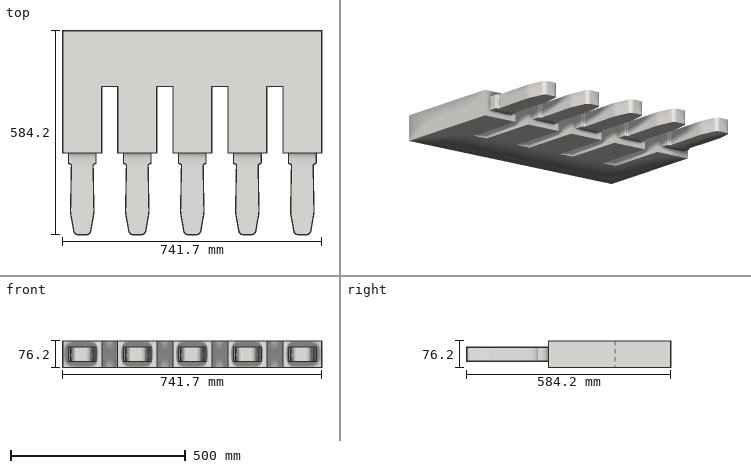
import cadquery as cq
import math

INCH = 25.4

TOOTH_COUNT = 5
TOOTH_PITCH = 6.2 * INCH
TOOTH_WIDTH = 4.4 * INCH
BODY_DEPTH = 13.8 * INCH
BODY_THICKNESS = 3.0 * INCH
SLOT_DEPTH = 7.5 * INCH

PIN_LENGTH = 9.2 * INCH
PIN_THICKNESS = 1.6 * INCH
SHOULDER_HALF_WIDTH = 1.575 * INCH
SHOULDER_LENGTH = 1.04 * INCH
STEP_RADIUS = 0.17 * INCH
BULGE_HALF_WIDTH = 1.335 * INCH
BULGE_DISTANCE = 6.7 * INCH
BULGE_RADIUS = 3.1 * INCH
TAPER_ANGLE = math.radians(10)
TIP_RADIUS = 0.53 * INCH

BODY_WIDTH = (TOOTH_COUNT - 1) * TOOTH_PITCH + TOOTH_WIDTH
SLOT_WIDTH = TOOTH_PITCH - TOOTH_WIDTH
WAIST_HALF_WIDTH = SHOULDER_HALF_WIDTH - 2 * STEP_RADIUS
WAIST_DISTANCE = SHOULDER_LENGTH + 2 * STEP_RADIUS
TIP_HALF_WIDTH = BULGE_HALF_WIDTH - (PIN_LENGTH - BULGE_DISTANCE) * math.tan(TAPER_ANGLE)


def evenly_spaced(count):
    """X positions of a centred row with the tooth pitch."""
    return [(i - (count - 1) / 2) * TOOTH_PITCH for i in range(count)]


def make_body():
    """Flat bar with open slots; the tooth ends lie on Y = 0."""
    body = cq.Workplane("XY").box(BODY_WIDTH, BODY_DEPTH, BODY_THICKNESS, centered=(True, False, True))
    slots = (
        cq.Workplane("XY")
        .pushPoints([(x, 0) for x in evenly_spaced(TOOTH_COUNT - 1)])
        .box(SLOT_WIDTH, SLOT_DEPTH, BODY_THICKNESS, centered=(True, False, True))
    )
    return body.cut(slots)


def make_shoulder():
    """Wide pin root that steps in to the waist through a round and a hollow quarter arc."""
    return (
        cq.Workplane("XY")
        .moveTo(-SHOULDER_HALF_WIDTH, 0)
        .lineTo(SHOULDER_HALF_WIDTH, 0)
        .lineTo(SHOULDER_HALF_WIDTH, -SHOULDER_LENGTH)
        .radiusArc((SHOULDER_HALF_WIDTH - STEP_RADIUS, -SHOULDER_LENGTH - STEP_RADIUS), STEP_RADIUS)
        .radiusArc((WAIST_HALF_WIDTH, -WAIST_DISTANCE), -STEP_RADIUS)
        .lineTo(-WAIST_HALF_WIDTH, -WAIST_DISTANCE)
        .radiusArc((STEP_RADIUS - SHOULDER_HALF_WIDTH, -SHOULDER_LENGTH - STEP_RADIUS), -STEP_RADIUS)
        .radiusArc((-SHOULDER_HALF_WIDTH, -SHOULDER_LENGTH), STEP_RADIUS)
        .close()
        .extrude(PIN_THICKNESS / 2, both=True)
    )


def make_blade():
    """Slightly widening shaft with a rounded bulge and a tapered, round-cornered tip."""
    return (
        cq.Workplane("XY")
        .polyline([
            (-WAIST_HALF_WIDTH, -WAIST_DISTANCE),
            (WAIST_HALF_WIDTH, -WAIST_DISTANCE),
            (BULGE_HALF_WIDTH, -BULGE_DISTANCE),
            (TIP_HALF_WIDTH, -PIN_LENGTH),
            (-TIP_HALF_WIDTH, -PIN_LENGTH),
            (-BULGE_HALF_WIDTH, -BULGE_DISTANCE),
        ])
        .close()
        .extrude(PIN_THICKNESS / 2, both=True)
        .edges("|Z and (<X or >X)")
        .fillet(BULGE_RADIUS)
        .edges("|Z and <Y")
        .fillet(TIP_RADIUS)
    )


result = make_body()
pin = make_shoulder().union(make_blade()).clean()
for pin_x in evenly_spaced(TOOTH_COUNT):
    result = result.union(pin.translate((pin_x, 0, 0)))